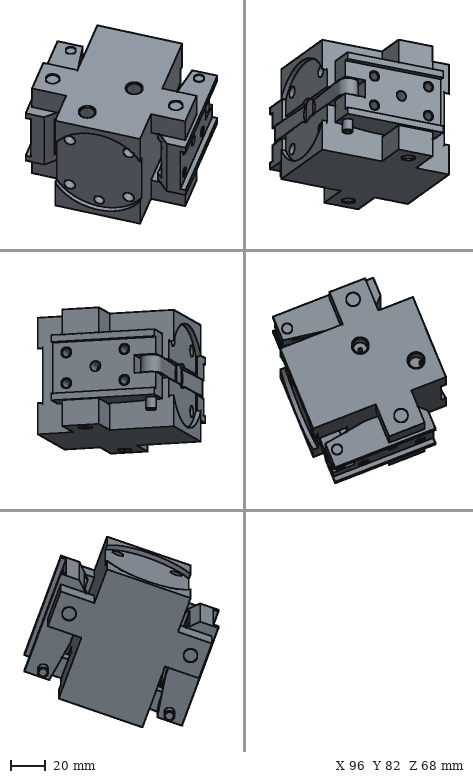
import cadquery as cq
import math

BODY_WIDTH = 51.0
BODY_LENGTH = 82.0
BODY_HEIGHT = 68.0
FRONT_Y = -BODY_LENGTH / 2
BACK_Y = BODY_LENGTH / 2

RECESS_RADIUS = 30.0
RECESS_DEPTH = 3.0

BOLT_CIRCLE_DIAMETER = 50.0
BOLT_HOLE_DIAMETER = 6.6

DOWEL_HOLE_DIAMETER = 6.0
DOWEL_HOLE_DEPTH = 8.0
DOWEL_Z = -BOLT_CIRCLE_DIAMETER / 2
DRILL_POINT_ANGLE = 118.0

ARM_SPAN = 92.0
ARM_BACK_Y = 2.4
ARM_LENGTH = 22.0
PIVOT_X = 37.0
PIVOT_Y = ARM_BACK_Y - ARM_LENGTH / 2
PIVOT_DIAMETER = 8.0
PIVOT_RECESS_DEPTH = 1.0

PORTS = [(10.0, -2.2, 0.0), (-10.0, -28.7, -3.1)]
PORT_DIAMETER = 8.6
PORT_DEPTH = 10.0
PORT_CHAMFER = 0.7
FEED_DIAMETER = 2.2
FEED_DEPTH = 3.0

JAW_OUTER_X = 48.0
JAW_INNER_X = 29.0
JAW_BACK_INNER_X = 32.9
JAW_BACK_Y = 36.5
JAW_LENGTH = 62.0
JAW_FRONT_Y = JAW_BACK_Y - JAW_LENGTH
JAW_TAPER_START_Y = 11.1
JAW_FRONT_CHAMFER = 7.8
JAW_HEIGHT = 38.0
JAW_GROOVE_DEPTH = 3.1
JAW_OUTER_LIP = 4.0
JAW_INNER_LIP = 5.0
JAW_SLOT_HEIGHT = 10.5
JAW_SLOT_FRONT_Y = 23.4
JAW_SCREW_Y = 17.5
JAW_SCREW_Z = 9.0
JAW_SCREW_DIAMETER = 5.2
JAW_SCREW_CHAMFER = 0.45
JAW_CENTRE_HOLE_DIAMETER = 6.0

PIN_X = 38.5
PIN_TO_JAW_BACK = 5.0
PIN_Y = JAW_BACK_Y - PIN_TO_JAW_BACK
PIN_DIAMETER = 6.0
PIN_SINK = 0.7
PIN_TOP_Z = JAW_HEIGHT / 2 - PIN_SINK
PIN_BOTTOM_Z = -26.1
PIN_CHAMFER = 0.6
LINK_WIDTH = 12.0
LINK_THICKNESS = 9.8
LINK_TILT = 2.5

HOUSING_SLOT_HEIGHT = 11.0
HOUSING_SLOT_FRONT_Y = 20.0

PISTON_DIAMETER = 14.0
PISTON_FRONT_Y = 10.0
PISTON_LENGTH = 26.0


def box(x_range, y_range, z_range):
    """Box spanning three (low, high) ranges."""
    sizes = [high - low for low, high in (x_range, y_range, z_range)]
    corner = (x_range[0], y_range[0], z_range[0])
    return cq.Workplane("XY").box(*sizes, centered=False).translate(corner)


def cylinder(start, direction, diameter, length):
    """Cylinder from a start point along a direction."""
    solid = cq.Solid.makeCylinder(diameter / 2, length, cq.Vector(*start), cq.Vector(*direction))
    return cq.Workplane(obj=solid)


def cone(start, direction, start_diameter, end_diameter, length):
    """Cone from a start point along a direction."""
    solid = cq.Solid.makeCone(
        start_diameter / 2, end_diameter / 2, length, cq.Vector(*start), cq.Vector(*direction)
    )
    return cq.Workplane(obj=solid)


def drilling(start, direction, diameter, depth):
    """Blind drilled hole that ends in a drill point."""
    tip = cq.Vector(*start) + cq.Vector(*direction) * depth
    tip_length = diameter / 2 / math.tan(math.radians(DRILL_POINT_ANGLE / 2))
    hole = cylinder(start, direction, diameter, depth)
    return hole.union(cone(tip.toTuple(), direction, diameter, 0, tip_length))


def chamfered_hole(start, direction, diameter, depth, chamfer):
    """Flat-ended hole with a chamfered mouth."""
    hole = cylinder(start, direction, diameter, depth)
    return hole.union(cone(start, direction, diameter + 2 * chamfer, diameter, chamfer))


def mirrored(body):
    """Copy of a body on the opposite side in X."""
    return body.mirror("YZ")


def bolt_holes():
    offset = BOLT_CIRCLE_DIAMETER / 2 * math.cos(math.radians(45))
    corners = [(x, z) for x in (-offset, offset) for z in (-offset, offset)]
    holes = cq.Workplane("XZ", origin=(0, BACK_Y, 0)).pushPoints(corners)
    return holes.circle(BOLT_HOLE_DIAMETER / 2).extrude(BODY_LENGTH)


def dowel_hole():
    start = (0, FRONT_Y + RECESS_DEPTH, DOWEL_Z)
    return drilling(start, (0, 1, 0), DOWEL_HOLE_DIAMETER, DOWEL_HOLE_DEPTH)


def make_housing():
    half_height = BODY_HEIGHT / 2
    housing = cq.Workplane("XY").box(BODY_WIDTH, BODY_LENGTH, BODY_HEIGHT)
    for side in (-1, 1):
        start = (0, side * BODY_LENGTH / 2, 0)
        housing = housing.cut(cylinder(start, (0, -side, 0), 2 * RECESS_RADIUS, RECESS_DEPTH))

    arm_x = (-ARM_SPAN / 2, ARM_SPAN / 2)
    arm_y = (ARM_BACK_Y - ARM_LENGTH, ARM_BACK_Y)
    for side in (-1, 1):
        arm_z = sorted((side * JAW_HEIGHT / 2, side * half_height))
        housing = housing.union(box(arm_x, arm_y, arm_z))
        for x in (-PIVOT_X, PIVOT_X):
            start = (x, PIVOT_Y, side * half_height)
            housing = housing.cut(cylinder(start, (0, 0, -side), PIVOT_DIAMETER, PIVOT_RECESS_DEPTH))

    for x, y, feed_offset in PORTS:
        port = chamfered_hole((x, y, half_height), (0, 0, -1), PORT_DIAMETER, PORT_DEPTH, PORT_CHAMFER)
        feed_start = (x, y + feed_offset, half_height - PORT_DEPTH)
        feed = drilling(feed_start, (0, 0, -1), FEED_DIAMETER, FEED_DEPTH)
        housing = housing.cut(port).cut(feed)

    bore = cylinder((0, PISTON_FRONT_Y, 0), (0, 1, 0), PISTON_DIAMETER, BACK_Y - PISTON_FRONT_Y)
    slot_z = (-HOUSING_SLOT_HEIGHT / 2, HOUSING_SLOT_HEIGHT / 2)
    slot_x = (-BODY_WIDTH / 2, BODY_WIDTH / 2)
    slot = box(slot_x, (HOUSING_SLOT_FRONT_Y, BACK_Y), slot_z)
    housing = housing.cut(bore).cut(slot)

    return housing.cut(bolt_holes()).cut(dowel_hole())


def make_left_jaw():
    half_height = JAW_HEIGHT / 2
    outline = [
        (-JAW_OUTER_X, JAW_FRONT_Y),
        (-JAW_OUTER_X, JAW_BACK_Y),
        (-JAW_BACK_INNER_X, JAW_BACK_Y),
        (-JAW_INNER_X, JAW_TAPER_START_Y),
        (-JAW_INNER_X, JAW_FRONT_Y + JAW_FRONT_CHAMFER),
        (-JAW_INNER_X - JAW_FRONT_CHAMFER, JAW_FRONT_Y),
    ]
    jaw = cq.Workplane("XY", origin=(0, 0, -half_height)).polyline(outline).close().extrude(JAW_HEIGHT)

    full_length = (JAW_FRONT_Y, JAW_BACK_Y)
    face_x = -JAW_OUTER_X + JAW_GROOVE_DEPTH
    outer_z = half_height - JAW_OUTER_LIP
    inner_z = half_height - JAW_INNER_LIP
    jaw = jaw.cut(box((-JAW_OUTER_X, face_x), full_length, (-outer_z, outer_z)))
    inner_groove_x = (-JAW_INNER_X - JAW_GROOVE_DEPTH, -JAW_INNER_X)
    jaw = jaw.cut(box(inner_groove_x, full_length, (-inner_z, inner_z)))

    slot_z = (-JAW_SLOT_HEIGHT / 2, JAW_SLOT_HEIGHT / 2)
    jaw = jaw.cut(box((-JAW_OUTER_X, -JAW_INNER_X), (JAW_SLOT_FRONT_Y, JAW_BACK_Y), slot_z))
    jaw = jaw.cut(cylinder((-PIN_X, PIN_Y, -half_height), (0, 0, 1), PIN_DIAMETER, JAW_HEIGHT))

    thickness = JAW_OUTER_X - JAW_INNER_X
    for y in (-JAW_SCREW_Y, JAW_SCREW_Y):
        for z in (-JAW_SCREW_Z, JAW_SCREW_Z):
            jaw = jaw.cut(
                chamfered_hole((face_x, y, z), (1, 0, 0), JAW_SCREW_DIAMETER, thickness, JAW_SCREW_CHAMFER)
            )
    return jaw.cut(cylinder((face_x, 0, 0), (1, 0, 0), JAW_CENTRE_HOLE_DIAMETER, thickness))


def make_piston():
    return cylinder((0, PISTON_FRONT_Y, 0), (0, 1, 0), PISTON_DIAMETER, PISTON_LENGTH)


def make_left_link(piston):
    half_width = LINK_WIDTH / 2
    reach = PIN_X - PISTON_DIAMETER / 4
    bar = (
        cq.Workplane("XY", origin=(0, 0, -LINK_THICKNESS / 2))
        .moveTo(reach, half_width)
        .lineTo(0, half_width)
        .threePointArc((-half_width, 0), (0, -half_width))
        .lineTo(reach, -half_width)
        .close()
        .extrude(LINK_THICKNESS)
        .rotate((0, 0, 0), (0, 0, 1), -LINK_TILT)
    )
    pin = cylinder((0, 0, PIN_BOTTOM_Z), (0, 0, 1), PIN_DIAMETER, PIN_TOP_Z - PIN_BOTTOM_Z)
    pin = pin.faces("<Z").chamfer(PIN_CHAMFER)
    link = bar.union(pin).translate((-PIN_X, PIN_Y, 0))

    return link.cut(piston)


piston = make_piston()
left_link = make_left_link(piston)
links = [left_link, mirrored(left_link)]
left_jaw = make_left_jaw()
jaws = [left_jaw, mirrored(left_jaw)]
housing = make_housing()

result = cq.Compound.makeCompound(
    [body.solids().val() for body in (housing, piston, *jaws, *links)]
)